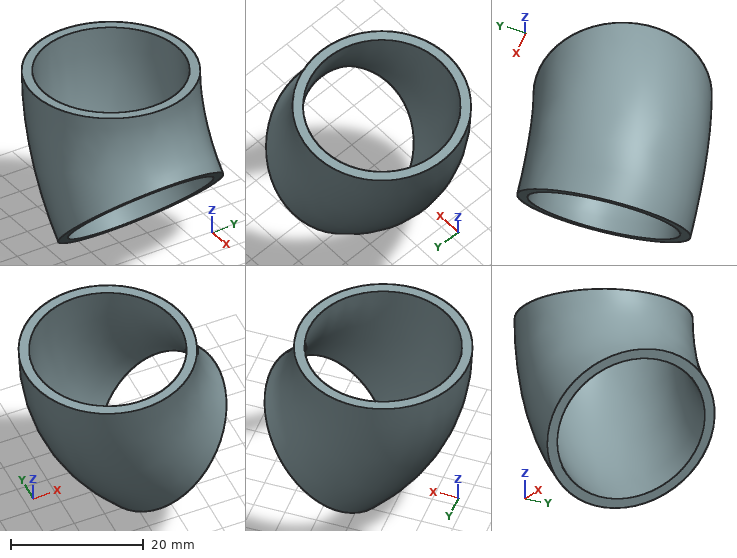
import cadquery as cq

outer_diameter = 26.9
wall_thickness = 1.6
bend_radius = 28.5
bend_angle = 45.0

inner_diameter = outer_diameter - 2 * wall_thickness

end_face = cq.Workplane("XY").circle(outer_diameter / 2).circle(inner_diameter / 2)

bend_axis_start = (bend_radius, 0)
bend_axis_end = (bend_radius, -1)

result = end_face.revolve(bend_angle, bend_axis_start, bend_axis_end)